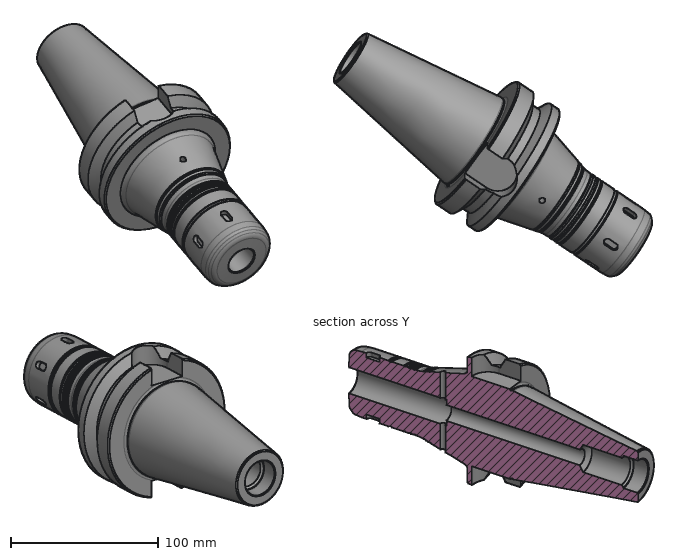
import cadquery as cq
import math


GAUGE_RADIUS = 69.85 / 2
TAPER_LENGTH = 101.8
TAPER_RATE = 7 / 24
TAPER_END_RADIUS = GAUGE_RADIUS - TAPER_LENGTH * TAPER_RATE / 2
TAPER_CHAMFER = 0.8
COLLAR_STEP = 0.4
COLLAR_START = 1.3
COLLAR_RADIUS = 68.9 / 2
COLLAR_BLEND_START = 2.3
COLLAR_BLEND_RADIUS = 37.0
COLLAR_BLEND = 3.0

FLANGE_RADIUS = 50.0
FLANGE_BACK = 3.0
FLANGE_FRONT = 38.0
FLANGE_CHAMFER = 1.0
GROOVE_CENTRE = 23.05
GROOVE_FLOOR_RADIUS = 42.5
GROOVE_FLOOR_HALF_WIDTH = 3.1
GROOVE_WALL_ANGLE = 30.0
GROOVE_WALL_SLOPE = math.tan(math.radians(GROOVE_WALL_ANGLE))
GROOVE_WALL_RUN = (FLANGE_RADIUS - GROOVE_FLOOR_RADIUS) * GROOVE_WALL_SLOPE
GROOVE_REAR = GROOVE_CENTRE - GROOVE_FLOOR_HALF_WIDTH
GROOVE_FRONT = GROOVE_CENTRE + GROOVE_FLOOR_HALF_WIDTH

KEYWAY_WIDTH = 26.4
KEYWAY_END = 34.1
KEYWAY_FLOOR = 35.4
KEYWAY_COUNT = 2

NECK_ROOT_RADIUS = 37.7
NECK_ROOT_BLEND = 5.0
NECK_CONE_START = 41.2
NECK_CONE_START_RADIUS = 35.4
NECK_CONE_END = 72.0
NECK_CONE_END_RADIUS = 27.2
NECK_BLEND_END = 76.8
NECK_BLEND = 20.0

NUT_RADIUS = 26.0
NUT_TAPER_START = 124.5
NUT_TAPER_END = 129.5
NUT_TAPER_END_RADIUS = 51 / 2
NUT_CHAMFER_START = 131.6
NUT_ROUND = 4.0
NUT_CHAMFER_END = 133.1
NUT_FACE = 134.6
NUT_FACE_RADIUS = 19.4
NUT_FACE_ROUND = 5.0
NUT_CHAMFER_START_RADIUS = 24.5
NUT_CHAMFER_END_RADIUS = NUT_CHAMFER_START_RADIUS + NUT_CHAMFER_START - NUT_CHAMFER_END
FRONT_END = 135.0

RING_FLOOR_RADIUS = 51 / 2
RING_CHAMFER_LENGTH = 0.7
RING_CHAMFER_DEPTH = 0.3
NUT_GAP = (99.7, 101.7)
REAR_RING = (80.5, 82.0)
FRONT_RING = (84.0, 85.5)
V_RING = (88.2, 89.7)
NECK_RING = (68.3, 69.7)
NECK_RING_FLOOR_RADIUS = 27.8
NECK_V_RING = (71.9, 73.9)
NECK_V_RING_FLOOR_RADIUS = 26.5
NECK_V_RING_END_RADIUS = 26.65

SPANNER_SLOT_CENTRE = 115.0
SPANNER_SLOT_LENGTH = 10.6
SPANNER_SLOT_WIDTH = 5.0
SPANNER_SLOT_DEPTH = 3.5
SPANNER_SLOT_COUNT = 6

DRAWBAR_MOUTH_RADIUS = 13.1
DRAWBAR_BORE_RADIUS = 25 / 2
DRAWBAR_BORE_DEPTH = 12.0
DRAWBAR_THREAD_RADIUS = 21 / 2
DRAWBAR_THREAD_CHAMFER = 24 / 2 - DRAWBAR_THREAD_RADIUS
DRAWBAR_THREAD_DEPTH = 45.0
DRILL_TIP_ANGLE = 118.0
THROUGH_RADIUS = 12 / 2
TOOL_BORE_RADIUS = 20 / 2
TOOL_MOUTH_RADIUS = 21.3 / 2
TOOL_BORE_DEPTH = 80.0
CROSS_HOLE_DIAMETER = 4.0
CROSS_HOLE_X = 57.9


def revolve_x(profile):
    """Close an (x, radius) outline and revolve it about the X axis."""
    return profile.close().revolve(360, (0, 0, 0), (1, 0, 0))


def square_ring(span, floor_radius):
    """Square-sided groove cutter about the X axis; span holds its start and end."""
    start, end = span
    face = cq.Workplane("YZ", origin=(start, 0, 0)).circle(FLANGE_RADIUS).circle(floor_radius)
    return face.extrude(end - start)


def v_ring(span, floor_radius, start_radius, end_radius):
    """V-shaped groove cutter, given the radius of the surface at its two edges."""
    start, end = span
    outline = (
        cq.Workplane("XY")
        .moveTo(start, start_radius)
        .lineTo((start + end) / 2, floor_radius)
        .lineTo(end, end_radius)
        .lineTo(end, FLANGE_RADIUS)
        .lineTo(start, FLANGE_RADIUS)
    )
    return revolve_x(outline)


def edge_chamfer(edge, direction):
    """Cutter that bevels a groove edge; direction is +1 or -1, from the groove into the land."""
    outline = (
        cq.Workplane("XY")
        .moveTo(edge, NUT_RADIUS - RING_CHAMFER_DEPTH)
        .lineTo(edge + direction * RING_CHAMFER_LENGTH, NUT_RADIUS)
        .lineTo(edge, FLANGE_RADIUS)
    )
    return revolve_x(outline)


def make_body():
    """Outer turned shape, without the ring grooves."""
    taper_start = -TAPER_LENGTH
    outline = (
        cq.Workplane("XY")
        .moveTo(taper_start, 0)
        .lineTo(taper_start, TAPER_END_RADIUS - TAPER_CHAMFER)
        .lineTo(taper_start + TAPER_CHAMFER, TAPER_END_RADIUS + TAPER_CHAMFER * TAPER_RATE / 2)
        .lineTo(0, GAUGE_RADIUS)
        .lineTo(COLLAR_START, GAUGE_RADIUS)
        .lineTo(COLLAR_START + COLLAR_STEP, COLLAR_RADIUS)
        .lineTo(COLLAR_BLEND_START, COLLAR_RADIUS)
        .radiusArc((FLANGE_BACK, COLLAR_BLEND_RADIUS), -COLLAR_BLEND)
        .lineTo(FLANGE_BACK, FLANGE_RADIUS - FLANGE_CHAMFER)
        .lineTo(FLANGE_BACK + FLANGE_CHAMFER, FLANGE_RADIUS)
        .lineTo(GROOVE_REAR - GROOVE_WALL_RUN, FLANGE_RADIUS)
        .lineTo(GROOVE_REAR, GROOVE_FLOOR_RADIUS)
        .lineTo(GROOVE_FRONT, GROOVE_FLOOR_RADIUS)
        .lineTo(GROOVE_FRONT + GROOVE_WALL_RUN, FLANGE_RADIUS)
        .lineTo(FLANGE_FRONT - FLANGE_CHAMFER, FLANGE_RADIUS)
        .lineTo(FLANGE_FRONT, FLANGE_RADIUS - FLANGE_CHAMFER)
        .lineTo(FLANGE_FRONT, NECK_ROOT_RADIUS)
        .radiusArc((NECK_CONE_START, NECK_CONE_START_RADIUS), -NECK_ROOT_BLEND)
        .lineTo(NECK_CONE_END, NECK_CONE_END_RADIUS)
        .radiusArc((NECK_BLEND_END, NUT_RADIUS), -NECK_BLEND)
        .lineTo(NUT_TAPER_START, NUT_RADIUS)
        .lineTo(NUT_TAPER_END, NUT_TAPER_END_RADIUS)
        .radiusArc((NUT_CHAMFER_START, NUT_CHAMFER_START_RADIUS), NUT_ROUND)
        .lineTo(NUT_CHAMFER_END, NUT_CHAMFER_END_RADIUS)
        .radiusArc((NUT_FACE, NUT_FACE_RADIUS), NUT_FACE_ROUND)
        .lineTo(FRONT_END, TOOL_MOUTH_RADIUS)
        .lineTo(FRONT_END, 0)
    )
    return revolve_x(outline)


def make_bores():
    """Stepped bore: drawbar thread, through hole and tool bore."""
    back = -TAPER_LENGTH
    mouth_chamfer = DRAWBAR_MOUTH_RADIUS - DRAWBAR_BORE_RADIUS
    thread_start = back + DRAWBAR_BORE_DEPTH
    thread_end = back + DRAWBAR_THREAD_DEPTH
    tip_run = (DRAWBAR_THREAD_RADIUS - THROUGH_RADIUS) / math.tan(math.radians(DRILL_TIP_ANGLE / 2))
    tool_chamfer = TOOL_MOUTH_RADIUS - TOOL_BORE_RADIUS
    tool_bore_start = FRONT_END - TOOL_BORE_DEPTH
    outline = (
        cq.Workplane("XY")
        .moveTo(back, 0)
        .lineTo(back, DRAWBAR_MOUTH_RADIUS)
        .lineTo(back + mouth_chamfer, DRAWBAR_BORE_RADIUS)
        .lineTo(thread_start, DRAWBAR_BORE_RADIUS)
        .lineTo(thread_start, DRAWBAR_THREAD_RADIUS + DRAWBAR_THREAD_CHAMFER)
        .lineTo(thread_start + DRAWBAR_THREAD_CHAMFER, DRAWBAR_THREAD_RADIUS)
        .lineTo(thread_end, DRAWBAR_THREAD_RADIUS)
        .lineTo(thread_end + tip_run, THROUGH_RADIUS)
        .lineTo(tool_bore_start, THROUGH_RADIUS)
        .lineTo(tool_bore_start, TOOL_BORE_RADIUS)
        .lineTo(FRONT_END - tool_chamfer, TOOL_BORE_RADIUS)
        .lineTo(FRONT_END, TOOL_MOUTH_RADIUS)
        .lineTo(FRONT_END, 0)
    )
    return revolve_x(outline)


def cut_ring_grooves(part):
    """Turn the grooves into the neck, and the gap behind the nut."""
    for span in (REAR_RING, FRONT_RING, NUT_GAP):
        part = part.cut(square_ring(span, RING_FLOOR_RADIUS))
    part = part.cut(edge_chamfer(REAR_RING[0], -1))
    part = part.cut(edge_chamfer(FRONT_RING[1], 1))
    part = part.cut(edge_chamfer(NUT_GAP[1], 1))
    part = part.cut(v_ring(V_RING, RING_FLOOR_RADIUS, NUT_RADIUS, NUT_RADIUS))
    part = part.cut(square_ring(NECK_RING, NECK_RING_FLOOR_RADIUS))
    return part.cut(
        v_ring(NECK_V_RING, NECK_V_RING_FLOOR_RADIUS, NECK_CONE_END_RADIUS, NECK_V_RING_END_RADIUS)
    )


def make_keyway():
    """Round-ended drive keyway on the +Z side, open toward the taper."""
    half_width = KEYWAY_WIDTH / 2
    arc_centre = KEYWAY_END - half_width
    return (
        cq.Workplane("XY", origin=(0, 0, KEYWAY_FLOOR))
        .moveTo(0, -half_width)
        .lineTo(arc_centre, -half_width)
        .threePointArc((KEYWAY_END, 0), (arc_centre, half_width))
        .lineTo(0, half_width)
        .close()
        .extrude(FLANGE_RADIUS)
    )


def make_spanner_slot():
    """Blind slot on the +Z side of the nut."""
    return (
        cq.Workplane("XY", origin=(SPANNER_SLOT_CENTRE, 0, NUT_RADIUS - SPANNER_SLOT_DEPTH))
        .slot2D(SPANNER_SLOT_LENGTH, SPANNER_SLOT_WIDTH)
        .extrude(2 * SPANNER_SLOT_DEPTH)
    )


def cut_around(part, cutter, count):
    """Cut equally spaced copies of a cutter about the X axis."""
    for index in range(count):
        part = part.cut(cutter.rotate((0, 0, 0), (1, 0, 0), index * 360 / count))
    return part


def make_cross_hole():
    """Small hole through the neck, along Z."""
    start = cq.Workplane("XY", origin=(CROSS_HOLE_X, 0, 0))
    return start.circle(CROSS_HOLE_DIAMETER / 2).extrude(FLANGE_RADIUS, both=True)


body = make_body().cut(make_bores())
body = cut_ring_grooves(body)
body = cut_around(body, make_keyway(), KEYWAY_COUNT)
body = cut_around(body, make_spanner_slot(), SPANNER_SLOT_COUNT)
result = body.cut(make_cross_hole())